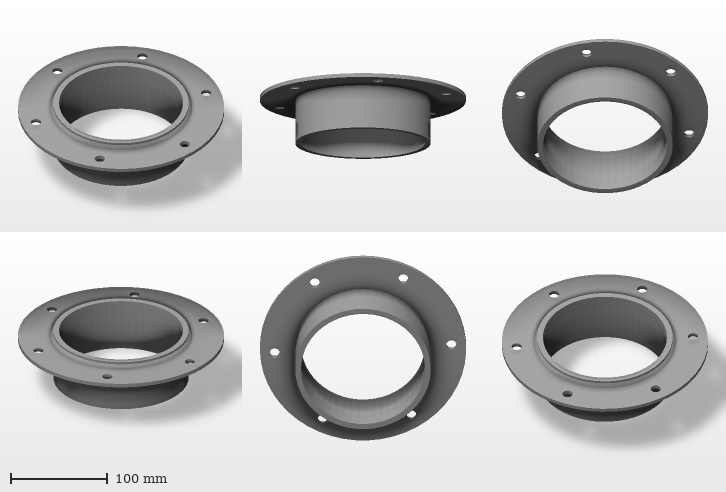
import cadquery as cq

flange_diameter = 213.0
flange_thickness = 4.0
tube_outer_diameter = 140.0
tube_bore_diameter = 128.0
tube_length = 55.0
tube_projection = 6.0
weld_leg = 3.5
bolt_circle_diameter = 182.8
bolt_hole_diameter = 10.5
bolt_hole_count = 6
first_bolt_angle = 90.0

tube_radius = tube_outer_diameter / 2
flange_top = tube_length - tube_projection
flange_bottom = flange_top - flange_thickness


def make_body():
    """Revolve the tube, flange and weld bead as one profile about Z."""
    bore_radius = tube_bore_diameter / 2
    flange_radius = flange_diameter / 2
    profile = [
        (bore_radius, 0),
        (tube_radius, 0),
        (tube_radius, flange_bottom),
        (flange_radius, flange_bottom),
        (flange_radius, flange_top),
        (tube_radius + weld_leg, flange_top),
        (tube_radius, flange_top + weld_leg),
        (tube_radius, tube_length),
        (bore_radius, tube_length),
    ]
    return cq.Workplane("XZ").polyline(profile).close().revolve(360, (0, 0), (0, 1))


def make_bolt_holes():
    """Cutters for the ring of through holes in the flange."""
    return (
        cq.Workplane("XY", origin=(0, 0, flange_bottom))
        .polarArray(bolt_circle_diameter / 2, first_bolt_angle, 360, bolt_hole_count)
        .circle(bolt_hole_diameter / 2)
        .extrude(flange_thickness)
    )


result = make_body().cut(make_bolt_holes())